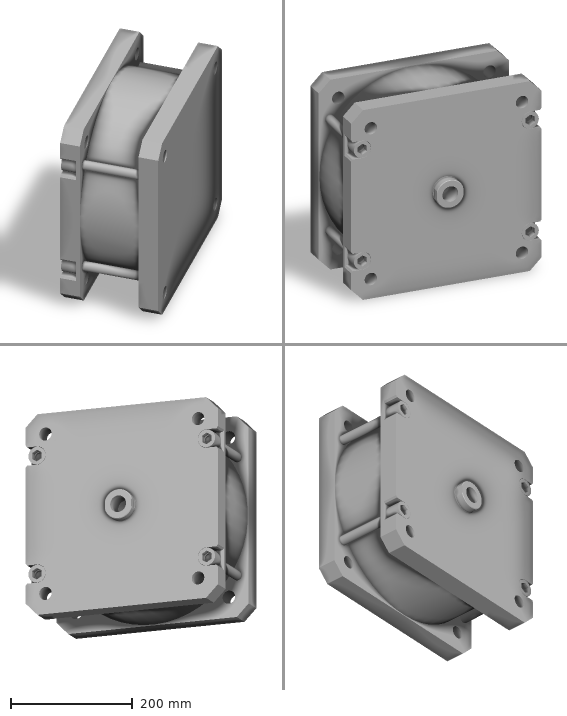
import cadquery as cq
import math

shaft_reach = 16.0
plate_thickness = 34.0
barrel_length = 101.0

shaft_tip_x = 0.0
front_plate_x = shaft_tip_x + shaft_reach
barrel_x = front_plate_x + plate_thickness
rear_plate_x = barrel_x + barrel_length

plate_width = 340.0
corner_chamfer = 21.0
mount_spacing = 270.0
mount_hole_diameter = 22.0

barrel_diameter = 337.0

bolt_spacing_y = 300.0
bolt_spacing_z = 200.0
bolt_diameter = 16.0
bolt_head_diameter = 30.0
bolt_head_length = 27.0
socket_width = 17.0
socket_depth = 10.0
pilot_diameter = 14.5
pilot_depth = 4.0

slot_width = 31.0
slot_flare_height = 3.5
slot_flare_length = 2.5

lip_height = 1.3
lip_width = 1.0

shaft_diameter = 50.0
shaft_flat_width = 46.5
shaft_flat_length = 13.0
shaft_chamfer = 1.0
bore_diameter = 28.0
bore_depth = 35.0
drill_point_angle = 118.0


def plane_at(x):
    """Sketch plane across the axis: sketch x is +Y, sketch y is +Z, extrusion runs toward +X."""
    return cq.Workplane("YZ", origin=(x, 0, 0))


def make_plate(x):
    """Square end plate with chamfered corners and four mounting holes."""
    return (
        plane_at(x)
        .rect(plate_width, plate_width)
        .extrude(plate_thickness)
        .edges("|X")
        .chamfer(corner_chamfer)
        .cut(
            plane_at(x)
            .rect(mount_spacing, mount_spacing, forConstruction=True)
            .vertices()
            .circle(mount_hole_diameter / 2)
            .extrude(plate_thickness)
        )
    )


def make_head_slot(side, z):
    """Round-ended slot for a bolt head, open at the plate side and flared at its mouth."""
    half_width = slot_width / 2
    mouth_half_width = half_width + slot_flare_height
    bolt_y = side * bolt_spacing_y / 2
    edge_y = side * plate_width / 2
    flare_y = edge_y - side * slot_flare_length
    return (
        plane_at(front_plate_x)
        .moveTo(edge_y, z + mouth_half_width)
        .lineTo(flare_y, z + half_width)
        .lineTo(bolt_y, z + half_width)
        .threePointArc((bolt_y - side * half_width, z), (bolt_y, z - half_width))
        .lineTo(flare_y, z - half_width)
        .lineTo(edge_y, z - mouth_half_width)
        .close()
        .extrude(bolt_head_length)
    )


def make_tie_bolt(y, z):
    """Socket-head bolt from the front face to the rear plate."""
    bolt_axis = plane_at(front_plate_x).center(y, z)
    head = bolt_axis.circle(bolt_head_diameter / 2).extrude(bolt_head_length)
    shank = bolt_axis.circle(bolt_diameter / 2).extrude(rear_plate_x - front_plate_x)
    socket_across_corners = socket_width / math.cos(math.pi / 6)
    socket = (
        bolt_axis.transformed(rotate=(0, 0, 90))
        .polygon(6, socket_across_corners)
        .extrude(socket_depth)
    )
    pilot = bolt_axis.circle(pilot_diameter / 2).extrude(socket_depth + pilot_depth)
    return head.union(shank).cut(socket).cut(pilot)


def make_shaft_lip():
    """Low conical lip that rises from the front face and closes on the shaft."""
    lip_radius = shaft_diameter / 2
    lip_base_radius = lip_radius + lip_width
    return (
        cq.Workplane("XY")
        .moveTo(front_plate_x - lip_height, lip_radius)
        .lineTo(front_plate_x, lip_base_radius)
        .lineTo(front_plate_x, lip_radius)
        .close()
        .revolve(360, (0, 0, 0), (1, 0, 0))
    )


def make_shaft():
    """Shaft end with two wrench flats and a drilled blind bore."""
    length = barrel_x - shaft_tip_x
    body = plane_at(shaft_tip_x).circle(shaft_diameter / 2).extrude(length).faces("<X").chamfer(shaft_chamfer)
    flat_band = (
        plane_at(shaft_tip_x)
        .rect(2 * shaft_diameter, 2 * shaft_diameter)
        .rect(shaft_flat_width, 2 * shaft_diameter)
        .extrude(shaft_flat_length)
    )
    bore_radius = bore_diameter / 2
    point_length = bore_radius / math.tan(math.radians(drill_point_angle / 2))
    bore = (
        cq.Workplane("XY")
        .moveTo(shaft_tip_x, 0)
        .lineTo(shaft_tip_x, bore_radius)
        .lineTo(shaft_tip_x + bore_depth, bore_radius)
        .lineTo(shaft_tip_x + bore_depth + point_length, 0)
        .close()
        .revolve(360, (0, 0, 0), (1, 0, 0))
    )
    return body.cut(flat_band).cut(bore)


def make_front_plate():
    """End plate with a shaft hole and lip, and a head slot and shank hole for each tie bolt."""
    shaft_hole = plane_at(front_plate_x).circle(shaft_diameter / 2).extrude(plate_thickness)
    shank_holes = (
        plane_at(front_plate_x)
        .rect(bolt_spacing_y, bolt_spacing_z, forConstruction=True)
        .vertices()
        .circle(bolt_diameter / 2)
        .extrude(plate_thickness)
    )
    plate = make_plate(front_plate_x).union(make_shaft_lip()).cut(shaft_hole).cut(shank_holes)
    for side in (-1, 1):
        for level in (-1, 1):
            plate = plate.cut(make_head_slot(side, level * bolt_spacing_z / 2))
    return plate


front_plate = make_front_plate()
rear_plate = make_plate(rear_plate_x)
barrel = plane_at(barrel_x).circle(barrel_diameter / 2).extrude(barrel_length)
shaft = make_shaft()

tie_bolts = []
for side in (-1, 1):
    for level in (-1, 1):
        tie_bolts.append(make_tie_bolt(side * bolt_spacing_y / 2, level * bolt_spacing_z / 2))

result = cq.Compound.makeCompound(
    [front_plate.val(), rear_plate.val(), barrel.val(), shaft.val()] + [bolt.val() for bolt in tie_bolts]
)